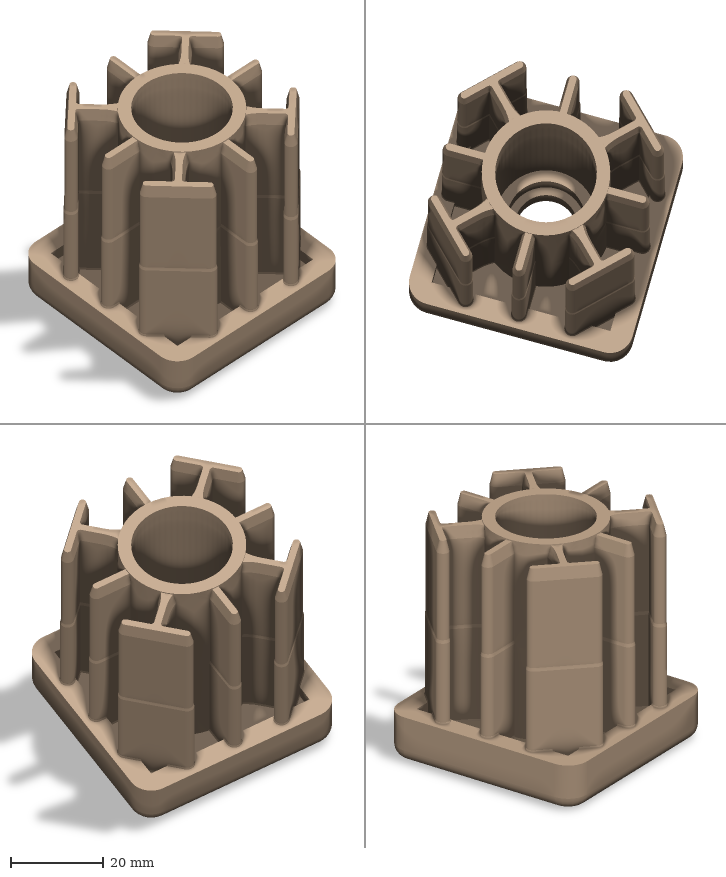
import cadquery as cq
import math

HEIGHT = 55.0

BASE_WIDTH = 50.0
BASE_HEIGHT = 11.0
BASE_CORNER_RADIUS = 5.0
BASE_BOTTOM_FILLET = 3.0
POCKET_WIDTH = 40.15
POCKET_DEPTH = 3.0
FLOOR_Z = BASE_HEIGHT - POCKET_DEPTH

BOSS_TOP_RADIUS = 13.9
BOSS_FOOT_RADIUS = 14.2
BORE_RADIUS = 11.0
SHOULDER_RADIUS = 8.5
HOLE_RADIUS = 6.75
BORE_FLOOR_Z = BASE_HEIGHT
SHOULDER_FLOOR_Z = BASE_HEIGHT / 2

LOWER_HALF = 1.6
UPPER_HALF = 1.45
TIP_HALF = 0.75
FOOT_GROWTH = 0.15
FOOT_HEIGHT = 0.45
FOOT_HALF = LOWER_HALF + FOOT_GROWTH
STEP_BOTTOM_Z = 30.35
STEP_TOP_Z = 31.15
TIP_START_Z = 51.9
RIB_TOP_Z = 54.7

RIB_ROOT_X = 12.4
RIB_END_X = 21.7
BAR_X = 23.8
BAR_HALF_LENGTH = 6.9
FLARE_START_X = 17.5
FLARE_RADIUS = 12.1
MIN_CORNER_RADIUS = 0.05
DIAGONAL_ANGLE = 45

FOOT_LEVELS = [(0, FOOT_HALF), (FOOT_HEIGHT, LOWER_HALF)]
RIB_LEVELS = [(FLOOR_Z + height, half) for height, half in FOOT_LEVELS] + [
    (STEP_BOTTOM_Z, LOWER_HALF),
    (STEP_TOP_Z, UPPER_HALF),
    (TIP_START_Z, UPPER_HALF),
    (RIB_TOP_Z, TIP_HALF),
]
RIM_FOOT_LEVELS = [(BASE_HEIGHT + height, half) for height, half in FOOT_LEVELS]


def straight_outline(z, half):
    """Plain rib with a full-round outer end."""
    return (
        cq.Workplane("XY", origin=(0, 0, z))
        .moveTo(RIB_ROOT_X, -half)
        .lineTo(RIB_END_X, -half)
        .threePointArc((RIB_END_X + half, 0), (RIB_END_X, half))
        .lineTo(RIB_ROOT_X, half)
        .close()
        .val()
    )


def tee_outline(z, half):
    """T-shaped rib: a stem flared at the boss, carrying a round-ended cross bar."""
    bar_inner = BAR_X - half
    bar_outer = BAR_X + half
    flare_run = FLARE_START_X - RIB_ROOT_X
    root_half = half + FLARE_RADIUS - math.sqrt(FLARE_RADIUS**2 - flare_run**2)
    corner = max(MIN_CORNER_RADIUS, UPPER_HALF + MIN_CORNER_RADIUS - half)
    return (
        cq.Workplane("XY", origin=(0, 0, z))
        .moveTo(RIB_ROOT_X, -root_half)
        .radiusArc((FLARE_START_X, -half), FLARE_RADIUS)
        .lineTo(bar_inner - corner, -half)
        .radiusArc((bar_inner, -half - corner), corner)
        .lineTo(bar_inner, -BAR_HALF_LENGTH)
        .threePointArc((BAR_X, -BAR_HALF_LENGTH - half), (bar_outer, -BAR_HALF_LENGTH))
        .lineTo(bar_outer, BAR_HALF_LENGTH)
        .threePointArc((BAR_X, BAR_HALF_LENGTH + half), (bar_inner, BAR_HALF_LENGTH))
        .lineTo(bar_inner, half + corner)
        .radiusArc((bar_inner - corner, half), corner)
        .lineTo(FLARE_START_X, half)
        .radiusArc((RIB_ROOT_X, root_half), FLARE_RADIUS)
        .close()
        .val()
    )


def loft_levels(outline, levels, angle):
    """Ruled body through one outline per height, turned about the part's axis."""
    wires = [outline(z, half) for z, half in levels]
    body = cq.Workplane(cq.Solid.makeLoft(wires, True))
    return body.rotate((0, 0, 0), (0, 0, 1), angle)


def pocket_body(top_z):
    """Square pocket volume from its floor up to the given height."""
    return (
        cq.Workplane("XY", origin=(0, 0, FLOOR_Z))
        .rect(POCKET_WIDTH, POCKET_WIDTH)
        .extrude(top_z - FLOOR_Z)
    )


def make_base():
    """Rounded square cap with a pocket in its top."""
    return (
        cq.Workplane("XY")
        .rect(BASE_WIDTH, BASE_WIDTH)
        .extrude(BASE_HEIGHT)
        .edges("|Z")
        .fillet(BASE_CORNER_RADIUS)
        .faces("<Z")
        .edges()
        .fillet(BASE_BOTTOM_FILLET)
        .cut(pocket_body(BASE_HEIGHT))
    )


def make_boss():
    """Tapered round boss standing on the pocket floor."""
    return cq.Workplane(
        cq.Solid.makeCone(
            BOSS_FOOT_RADIUS, BOSS_TOP_RADIUS, HEIGHT - FLOOR_Z, cq.Vector(0, 0, FLOOR_Z)
        )
    )


def make_rib(outline, angle):
    """Rib from the pocket floor up, with a second chamfered foot where it crosses the rim."""
    rim_foot = loft_levels(outline, RIM_FOOT_LEVELS, angle).cut(pocket_body(HEIGHT))
    return loft_levels(outline, RIB_LEVELS, angle).union(rim_foot)


def bore_section(radius, floor_z):
    """Cylinder open at the top of the boss."""
    return cq.Workplane("XY", origin=(0, 0, floor_z)).circle(radius).extrude(HEIGHT - floor_z)


result = make_base().union(make_boss())

for quarter_turn in (0, 90, 180, 270):
    result = result.union(make_rib(straight_outline, quarter_turn))
    result = result.union(make_rib(tee_outline, quarter_turn + DIAGONAL_ANGLE))

for radius, floor_z in (
    (BORE_RADIUS, BORE_FLOOR_Z),
    (SHOULDER_RADIUS, SHOULDER_FLOOR_Z),
    (HOLE_RADIUS, 0),
):
    result = result.cut(bore_section(radius, floor_z))